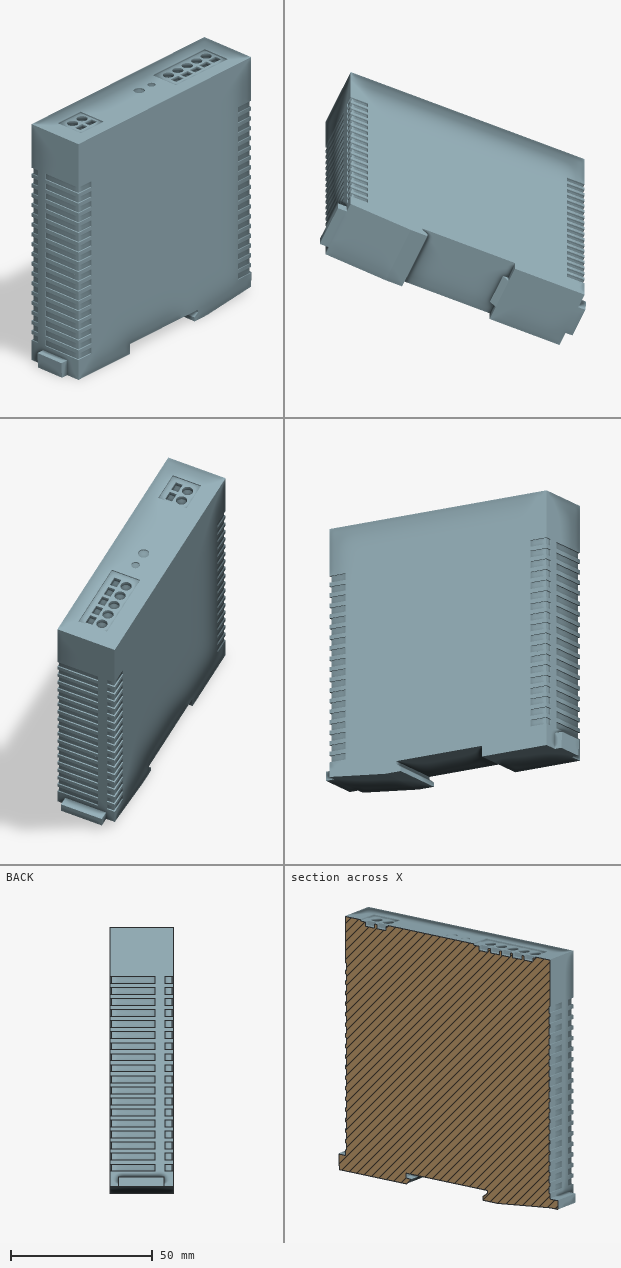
import cadquery as cq

width = 22.5
depth = 90.0
height = 94.0
front_y = -depth / 2
back_y = depth / 2
left_x = -width / 2
right_x = width / 2

rail_slope_rise = 2.5
rail_slope_length = 23.2
rail_lip_end = 29.5
rail_back_wall = 27.7
rail_front_wall = 63.2
rail_recess_height = 4.0
rail_lip_height = 1.5
rail_undercut_top = 3.0

latch_length = 2.2
latch_top = 2.4
latch_tip_z = 2.1

tab_top = 5.9
front_tab_length = 3.0
front_tab_width = 11.5
front_tab_left = 5.6
front_tab_taper = 0.3
back_tab_length = 3.5
back_tab_width = 16.0
back_tab_left = 3.4

groove_count = 18
groove_height = 2.4
groove_depth = 0.5
groove_top_margin = 17.4
groove_bottom_margin = 7.9
groove_side_reach = 6.8
groove_left_reach = 3.1
groove_right_reach = 15.9

block_left = 6.3
block_width = 11.1
block_recess = 0.5
first_terminal_inset = 2.9
terminal_pitch = 4.9
screw_diameter = 4.0
screw_inset = 3.4
wire_width = 2.7
wire_length = 3.8
wire_inset = 7.5
terminal_depth = 1.5
output_block = {"start": 6.7, "length": 27.0, "terminals": 5}
input_block = {"start": 71.3, "length": 11.9, "terminals": 2}

indicator_recesses = [(10.8, 39.3, 3.0), (10.6, 45.45, 4.0)]
indicator_depth = 0.5


def corner_box(x, y, z, dx, dy, dz):
    """Box with its lowest corner at (x, y, z)."""
    return cq.Workplane("XY").box(dx, dy, dz, centered=False).translate((x, y, z))


def side_prism(points, x, thickness):
    """Extrude a (Y, Z) outline along +X, starting at x."""
    return cq.Workplane("YZ").polyline(points).close().extrude(thickness).translate((x, 0, 0))


def make_housing():
    outline = [
        (front_y, 0),
        (front_y, height),
        (back_y, height),
        (back_y, rail_slope_rise),
        (back_y - rail_slope_length, 0),
        (back_y - rail_lip_end, 0),
        (back_y - rail_lip_end, rail_lip_height),
        (back_y - rail_back_wall, rail_undercut_top),
        (back_y - rail_back_wall, rail_recess_height),
        (back_y - rail_front_wall, rail_recess_height),
        (back_y - rail_front_wall, 0),
    ]
    return side_prism(outline, left_x, width)


def make_latch():
    wall_y = back_y - rail_front_wall
    outline = [
        (wall_y, 0),
        (wall_y + latch_length, latch_tip_z),
        (wall_y, latch_top),
    ]
    return side_prism(outline, left_x + front_tab_left, front_tab_width)


def make_front_tab():
    """Tab whose outer face leans inwards towards the bottom."""
    outer_y = front_y - front_tab_length
    outline = [
        (front_y, 0),
        (front_y, tab_top),
        (outer_y, tab_top),
        (outer_y + front_tab_taper, 0),
    ]
    return side_prism(outline, left_x + front_tab_left, front_tab_width)


def make_back_tab():
    return corner_box(
        left_x + back_tab_left, back_y, rail_slope_rise,
        back_tab_width, back_tab_length, tab_top - rail_slope_rise,
    )


def make_grooves():
    """All grooves: each level has a front and a back pair of corner-wrapping cuts."""
    bottom_z = groove_bottom_margin
    pitch = (height - groove_top_margin - groove_bottom_margin - groove_height) / (groove_count - 1)
    end_faces = (front_y, back_y - groove_depth)
    side_ends = (front_y, back_y - groove_side_reach)
    level = cq.Workplane("XY")
    for y in end_faces:
        level = level.add(corner_box(left_x, y, bottom_z, groove_left_reach, groove_depth, groove_height))
        level = level.add(
            corner_box(right_x - groove_right_reach, y, bottom_z,
                       groove_right_reach, groove_depth, groove_height)
        )
    for y in side_ends:
        for x in (left_x, right_x - groove_depth):
            level = level.add(corner_box(x, y, bottom_z, groove_depth, groove_side_reach, groove_height))
    level = level.combine()
    grooves = cq.Workplane("XY")
    for index in range(groove_count):
        grooves = grooves.add(level.translate((0, 0, index * pitch)))
    return grooves.combine()


def cut_terminal_block(body, start, length, terminals):
    """Sink a block recess, then a screw hole and a wire opening for each terminal."""
    block_x = left_x + block_left
    block_back = back_y - start
    floor_z = height - block_recess
    body = body.cut(corner_box(block_x, block_back - length, floor_z, block_width, length, block_recess))
    rows = [block_back - first_terminal_inset - index * terminal_pitch for index in range(terminals)]
    floor = cq.Workplane("XY", origin=(0, 0, floor_z))
    screws = (
        floor.pushPoints([(block_x + screw_inset, y) for y in rows])
        .circle(screw_diameter / 2)
        .extrude(-terminal_depth)
    )
    wires = (
        floor.pushPoints([(block_x + wire_inset, y) for y in rows])
        .rect(wire_width, wire_length)
        .extrude(-terminal_depth)
    )
    return body.cut(screws).cut(wires)


def cut_indicators(body):
    for from_left, from_back, diameter in indicator_recesses:
        recess = (
            cq.Workplane("XY", origin=(left_x + from_left, back_y - from_back, height))
            .circle(diameter / 2)
            .extrude(-indicator_depth)
        )
        body = body.cut(recess)
    return body


body = make_housing().cut(make_grooves())
body = body.union(make_latch()).union(make_front_tab()).union(make_back_tab())
body = cut_terminal_block(body, **output_block)
body = cut_terminal_block(body, **input_block)
result = cut_indicators(body)